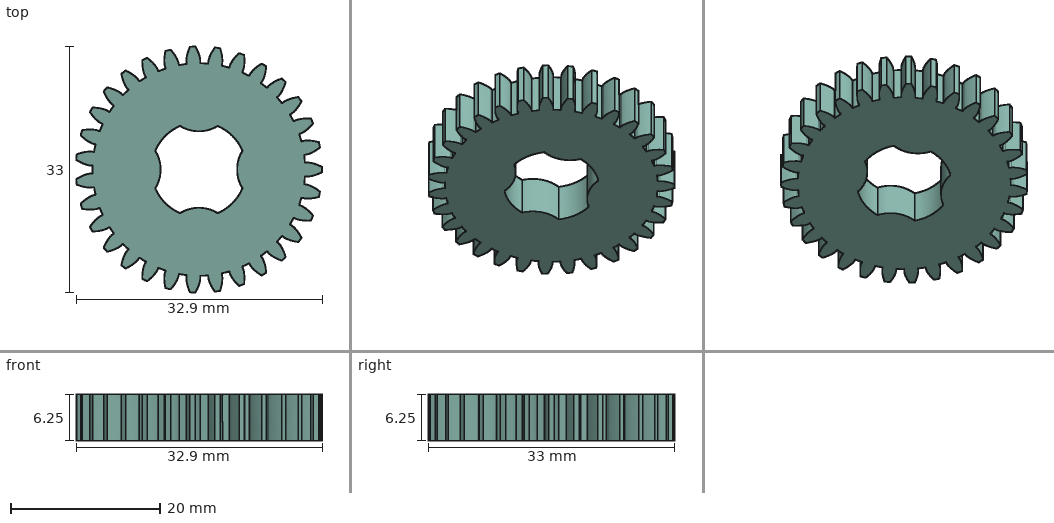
import cadquery as cq
import math

MODULE = 1.0
TOOTH_COUNT = 31
PRESSURE_ANGLE = math.radians(20)
DEDENDUM_FACTOR = 1.25
FACE_WIDTH = 6.25
FLANK_POINTS = 8

PITCH_RADIUS = MODULE * TOOTH_COUNT / 2
BASE_RADIUS = PITCH_RADIUS * math.cos(PRESSURE_ANGLE)
TIP_RADIUS = PITCH_RADIUS + MODULE
ROOT_RADIUS = PITCH_RADIUS - DEDENDUM_FACTOR * MODULE
ANGULAR_PITCH = 2 * math.pi / TOOTH_COUNT

BORE_RADIUS = 6.35
LOBE_COUNT = 4
LOBE_GAP = 10.2
LOBE_RADIUS = 4.75
LOBE_CENTER_RADIUS = LOBE_GAP / 2 + LOBE_RADIUS


def polar(radius, angle):
    """Cartesian point at a radius and an angle in radians."""
    return (radius * math.cos(angle), radius * math.sin(angle))


def involute(angle):
    """Involute function of a pressure angle in radians."""
    return math.tan(angle) - angle


def half_tooth_angle(radius):
    """Half the angle a tooth spans at a radius on or above the base circle."""
    local_pressure_angle = math.acos(min(1.0, BASE_RADIUS / radius))
    return ANGULAR_PITCH / 4 + involute(PRESSURE_ANGLE) - involute(local_pressure_angle)


def flank_points(tooth_angle, side):
    """Involute points from base circle to tip; side is -1 or +1 about the tooth centre."""
    points = []
    for i in range(FLANK_POINTS):
        rise = (i / (FLANK_POINTS - 1)) ** 2
        radius = BASE_RADIUS + (TIP_RADIUS - BASE_RADIUS) * rise
        points.append(polar(radius, tooth_angle + side * half_tooth_angle(radius)))
    return points


def make_gear_blank():
    """Toothed disc with one tooth centred on +X."""
    root_half_angle = half_tooth_angle(BASE_RADIUS)
    outline = cq.Workplane("XY").moveTo(*polar(ROOT_RADIUS, -root_half_angle))
    for index in range(TOOTH_COUNT):
        tooth_angle = index * ANGULAR_PITCH
        rising_flank = flank_points(tooth_angle, -1)
        falling_flank = flank_points(tooth_angle, 1)[::-1]
        outline = outline.lineTo(*rising_flank[0])
        outline = outline.spline(rising_flank[1:], includeCurrent=True)
        outline = outline.threePointArc(polar(TIP_RADIUS, tooth_angle), falling_flank[0])
        outline = outline.spline(falling_flank[1:], includeCurrent=True)
        outline = outline.lineTo(*polar(ROOT_RADIUS, tooth_angle + root_half_angle))
        outline = outline.threePointArc(
            polar(ROOT_RADIUS, tooth_angle + ANGULAR_PITCH / 2),
            polar(ROOT_RADIUS, tooth_angle + ANGULAR_PITCH - root_half_angle),
        )
    return outline.close().extrude(FACE_WIDTH)


def make_bore():
    """Through hole with its lobes on the X and Y axes."""
    hole = cq.Workplane("XY").circle(BORE_RADIUS).extrude(FACE_WIDTH)
    lobes = (
        cq.Workplane("XY")
        .polarArray(LOBE_CENTER_RADIUS, 0, 360, LOBE_COUNT)
        .circle(LOBE_RADIUS)
        .extrude(FACE_WIDTH)
    )
    return hole.cut(lobes)


result = make_gear_blank().cut(make_bore())